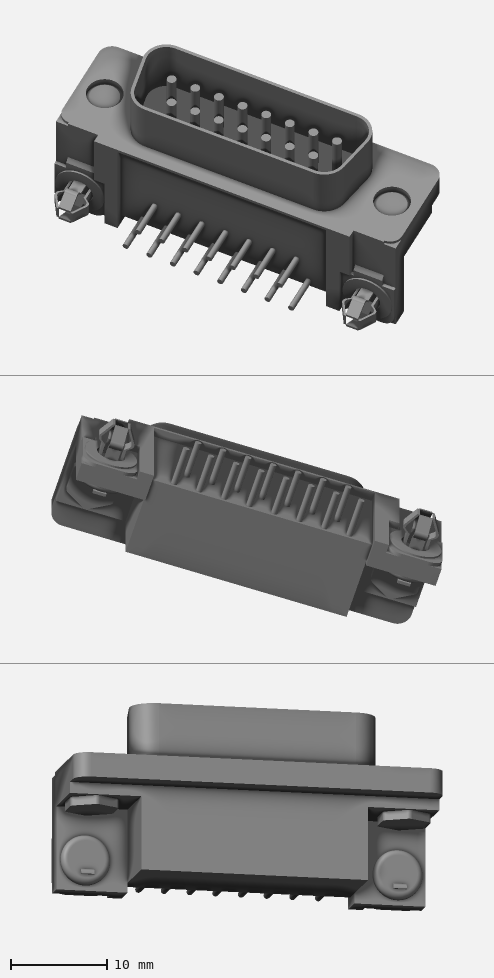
import cadquery as cq
import math


LENGTH = 39.37
FRONT_Y = -6.3
BACK_Y = 6.3
LEG_FRONT_Y = -5.35
LEG_BACK_Y = -3.35
BODY_BACK_Y = 3.3
FLANGE_TOP = 12.65
FLANGE_THICKNESS = 2.6
FLANGE_CORNER = 1.57
BLOCK_BOTTOM = 8.85
BODY_BOTTOM = 1.05
RIB_OUTER_X = 14.8
LOWER_RIB_OUTER_X = 13.62
RIB_STEP_Z = 6.38
RIB_INNER_X = 12.1
RIM_DEPTH = 0.35
CORNER_STEP_RADIUS = 1.38
CORNER_STEP_INSET = 0.2

SHELL_TOP = 18.6
SHELL_HALF_DEPTH = 4.6
SHELL_MID_HALF_WIDTH = 12.75
SHELL_SLANT_ANGLE = 10.0
SHELL_SLANT = math.tan(math.radians(SHELL_SLANT_ANGLE))
SHELL_CORNER = 2.55
SHELL_WALL = 0.35
SHELL_FLOOR = FLANGE_TOP - RIM_DEPTH

LONG_ROW_COUNT = 8
SHORT_ROW_COUNT = 7
LONG_ROW_SPAN = 19.17
PIN_PITCH = LONG_ROW_SPAN / (LONG_ROW_COUNT - 1)
ROW_Y = 1.4
PIN_RADIUS = 0.5
PIN_TOP = 17.15
TAIL_RADIUS = 0.335
TAIL_EMBED = 0.4
UPPER_TAIL_Z = 4.6
LOWER_TAIL_Z = 1.77
UPPER_TAIL_END = -9.37
LOWER_TAIL_END = -9.53

MOUNT_X = 16.65
HOLE_RADIUS = 1.95
HOLE_FLOOR_RADIUS = 1.6
HOLE_FLOOR_DEPTH = 0.47
HOLE_GROOVE_DEPTH = HOLE_FLOOR_DEPTH + HOLE_RADIUS - HOLE_FLOOR_RADIUS
NUT_HEIGHT = 0.95
NUT_ACROSS_CORNERS = 5.9
NUT_CORNER_RADIUS = 0.47

LOCK_Z = 3.2
PLATE_WIDTH = 6.0
PLATE_HEIGHT = 5.9
PLATE_THICKNESS = 0.4
PLATE_CORNER = 1.5
TAB_WIDTH = 3.3
TAB_BEND_Z = 6.75
TAB_TOP = 7.25
DISC_RADIUS = 2.85
DISC_FRONT_Y = -5.95
LOCK_HOLE_RADIUS = 1.55
RIVET_RADIUS = 2.65
RIVET_HEIGHT = 0.9
RIVET_ROUNDING = 0.63
HOOK_TIP_Z = 1.5
HOOK_OUTER_RADIUS = 0.63
HOOK_INNER_RADIUS = 0.3

PRONG_WIDTH = 1.4
PRONG_THICKNESS = 0.28
PRONG_ROOT_OFFSET = 1.3
PRONG_BULGE_OFFSET = 1.93
PRONG_TIP_OFFSET = 0.95
PRONG_BEND_Y = -7.1
PRONG_SHOULDER_OFFSET = 1.8
PRONG_BULGE_Y = -7.8
PRONG_BULGE_HALF_LENGTH = 0.3
PRONG_TIP_Y = -9.53


def block(x_min, x_max, y_min, y_max, z_min, z_max):
    """Box given by its limits."""
    return (
        cq.Workplane("XY")
        .box(x_max - x_min, y_max - y_min, z_max - z_min, centered=False)
        .translate((x_min, y_min, z_min))
    )


def rod_along_y(x, z, radius, y_start, y_end):
    """Cylinder parallel to Y."""
    axis = cq.Vector(0, y_end - y_start, 0)
    return cq.Workplane(cq.Solid.makeCylinder(radius, axis.Length, cq.Vector(x, y_start, z), axis))


def make_housing():
    half = LENGTH / 2
    flange_bottom = FLANGE_TOP - FLANGE_THICKNESS
    flange = block(-half, half, LEG_FRONT_Y, BACK_Y, flange_bottom, FLANGE_TOP)
    flange = flange.edges("|Z and >Y").fillet(FLANGE_CORNER)
    shoulder = block(-half, half, LEG_FRONT_Y, BODY_BACK_Y, BLOCK_BOTTOM, flange_bottom)
    body = block(-RIB_INNER_X, RIB_INNER_X, LEG_FRONT_Y, BODY_BACK_Y, BODY_BOTTOM, FLANGE_TOP)
    lip = block(
        -RIB_INNER_X, RIB_INNER_X, FRONT_Y, LEG_FRONT_Y, FLANGE_TOP - RIM_DEPTH, FLANGE_TOP
    )
    housing = flange.union(shoulder).union(body).union(lip)

    right_leg = block(RIB_INNER_X, half, LEG_FRONT_Y, LEG_BACK_Y, 0, BLOCK_BOTTOM)
    right_rib = block(RIB_INNER_X, RIB_OUTER_X, FRONT_Y, LEG_FRONT_Y, RIB_STEP_Z, FLANGE_TOP)
    right_lower_rib = block(RIB_INNER_X, LOWER_RIB_OUTER_X, FRONT_Y, LEG_FRONT_Y, 0, RIB_STEP_Z)
    for piece in (right_leg, right_rib, right_lower_rib):
        housing = housing.union(piece).union(piece.mirror("YZ"))
    return housing


def make_corner_step():
    """Shallow step that rounds the top of the right front corner of the flange."""
    step_bottom = FLANGE_TOP - RIM_DEPTH
    arc_x = LENGTH / 2 - CORNER_STEP_RADIUS
    arc_y = LEG_FRONT_Y + CORNER_STEP_INSET + CORNER_STEP_RADIUS
    corner = block(arc_x, LENGTH / 2, LEG_FRONT_Y, arc_y, step_bottom, FLANGE_TOP)
    rounding = (
        cq.Workplane("XY", origin=(arc_x, arc_y, step_bottom))
        .circle(CORNER_STEP_RADIUS)
        .extrude(RIM_DEPTH)
    )
    return corner.cut(rounding)


def make_shell_blank():
    """Solid D-shaped prism with the outer outline of the shell."""
    wide = SHELL_MID_HALF_WIDTH + SHELL_HALF_DEPTH * SHELL_SLANT
    narrow = SHELL_MID_HALF_WIDTH - SHELL_HALF_DEPTH * SHELL_SLANT
    outline = [
        (-wide, SHELL_HALF_DEPTH),
        (wide, SHELL_HALF_DEPTH),
        (narrow, -SHELL_HALF_DEPTH),
        (-narrow, -SHELL_HALF_DEPTH),
    ]
    return (
        cq.Workplane("XY", origin=(0, 0, SHELL_FLOOR))
        .polyline(outline)
        .close()
        .extrude(SHELL_TOP - SHELL_FLOOR)
        .edges("|Z")
        .fillet(SHELL_CORNER)
    )


def make_shell_cavity():
    """Inside of the shell, from its floor to its open top."""
    blank = make_shell_blank()
    return blank.cut(blank.faces("<Z or >Z").shell(-SHELL_WALL))


def make_contact_row(count, row_y, tail_z, tail_end):
    """One row of mating pins with the solder tails that belong to them."""
    row = cq.Workplane("XY")
    for index in range(count):
        x = (index - (count - 1) / 2) * PIN_PITCH
        pin = (
            cq.Workplane("XY", origin=(x, row_y, SHELL_FLOOR))
            .circle(PIN_RADIUS)
            .extrude(PIN_TOP - SHELL_FLOOR)
        )
        tail = rod_along_y(x, tail_z, TAIL_RADIUS, LEG_FRONT_Y + TAIL_EMBED, tail_end)
        row = row.add(pin).add(tail)
    return row


def make_mounting_hole():
    """Blind hole whose floor is chamfered at its edge, leaving a groove along the wall."""
    profile = [
        (0, 0),
        (HOLE_RADIUS, 0),
        (HOLE_RADIUS, -HOLE_GROOVE_DEPTH),
        (HOLE_FLOOR_RADIUS, -HOLE_FLOOR_DEPTH),
        (0, -HOLE_FLOOR_DEPTH),
    ]
    return (
        cq.Workplane("XZ", origin=(MOUNT_X, 0, FLANGE_TOP))
        .polyline(profile)
        .close()
        .revolve(360, (0, 0), (0, 1))
    )


def make_nut():
    """Hexagonal nut under the shoulder."""
    return (
        cq.Workplane("XY", origin=(MOUNT_X, 0, BLOCK_BOTTOM - NUT_HEIGHT))
        .transformed(rotate=(0, 0, 90))
        .polygon(6, NUT_ACROSS_CORNERS)
        .extrude(NUT_HEIGHT)
        .edges("|Z")
        .fillet(NUT_CORNER_RADIUS)
    )


def make_rivet_head():
    head = rod_along_y(MOUNT_X, LOCK_Z, RIVET_RADIUS, LEG_BACK_Y, LEG_BACK_Y + RIVET_HEIGHT)
    return head.faces(">Y").edges().fillet(RIVET_ROUNDING)


def make_hook():
    """Small strip that curls down behind the rivet head."""
    head_y = LEG_BACK_Y + RIVET_HEIGHT
    hook_bounds = block(
        MOUNT_X - PRONG_WIDTH / 2,
        MOUNT_X + PRONG_WIDTH / 2,
        head_y,
        head_y + HOOK_OUTER_RADIUS,
        HOOK_TIP_Z,
        HOOK_TIP_Z + HOOK_OUTER_RADIUS,
    )
    ring = (
        cq.Workplane("YZ", origin=(MOUNT_X - PRONG_WIDTH / 2, head_y, HOOK_TIP_Z))
        .circle(HOOK_OUTER_RADIUS)
        .circle(HOOK_INNER_RADIUS)
        .extrude(PRONG_WIDTH)
    )
    return ring.intersect(hook_bounds)


def make_lock_plate():
    """Base plate of the board lock: square plate, bent tab above it and a raised disc."""
    plate_front_y = LEG_FRONT_Y - PLATE_THICKNESS
    plate = block(
        LENGTH / 2 - PLATE_WIDTH, LENGTH / 2, plate_front_y, LEG_FRONT_Y, 0, PLATE_HEIGHT
    )
    plate = plate.edges("|Y and <Z").fillet(PLATE_CORNER)
    tab_profile = [
        (LEG_FRONT_Y, LOCK_Z),
        (plate_front_y, LOCK_Z),
        (plate_front_y, TAB_BEND_Z),
        (LEG_FRONT_Y, TAB_TOP),
    ]
    tab = (
        cq.Workplane("YZ", origin=(MOUNT_X - TAB_WIDTH / 2, 0, 0))
        .polyline(tab_profile)
        .close()
        .extrude(TAB_WIDTH)
    )
    disc = rod_along_y(MOUNT_X, LOCK_Z, DISC_RADIUS, LEG_FRONT_Y, DISC_FRONT_Y)
    hole = rod_along_y(MOUNT_X, LOCK_Z, LOCK_HOLE_RADIUS, LEG_FRONT_Y, DISC_FRONT_Y)
    return plate.union(tab).union(disc).cut(hole)


def make_prongs():
    """Four bent prongs around the axis of the board lock."""
    bulge_start_y = PRONG_BULGE_Y + PRONG_BULGE_HALF_LENGTH
    bulge_end_y = PRONG_BULGE_Y - PRONG_BULGE_HALF_LENGTH
    inner_root = PRONG_ROOT_OFFSET - PRONG_THICKNESS
    inner_shoulder = PRONG_SHOULDER_OFFSET - PRONG_THICKNESS
    inner_bulge = PRONG_BULGE_OFFSET - PRONG_THICKNESS
    prong = (
        cq.Workplane("XY", origin=(0, 0, -PRONG_WIDTH / 2))
        .moveTo(PRONG_ROOT_OFFSET, LEG_BACK_Y)
        .lineTo(PRONG_ROOT_OFFSET, PRONG_BEND_Y)
        .lineTo(PRONG_SHOULDER_OFFSET, bulge_start_y)
        .threePointArc((PRONG_BULGE_OFFSET, PRONG_BULGE_Y), (PRONG_SHOULDER_OFFSET, bulge_end_y))
        .lineTo(PRONG_TIP_OFFSET, PRONG_TIP_Y)
        .lineTo(PRONG_TIP_OFFSET - PRONG_THICKNESS, PRONG_TIP_Y)
        .lineTo(inner_shoulder, bulge_end_y)
        .threePointArc((inner_bulge, PRONG_BULGE_Y), (inner_shoulder, bulge_start_y))
        .lineTo(inner_root, PRONG_BEND_Y)
        .lineTo(inner_root, LEG_BACK_Y)
        .close()
        .extrude(PRONG_WIDTH)
    )
    prongs = cq.Workplane("XY")
    for quarter in range(4):
        prongs = prongs.add(prong.rotate((0, 0, 0), (0, 1, 0), 90 * quarter))
    return prongs.translate((MOUNT_X, 0, LOCK_Z))


result = make_housing().union(make_shell_blank()).cut(make_shell_cavity())
for contacts in (
    make_contact_row(LONG_ROW_COUNT, ROW_Y, LOWER_TAIL_Z, LOWER_TAIL_END),
    make_contact_row(SHORT_ROW_COUNT, -ROW_Y, UPPER_TAIL_Z, UPPER_TAIL_END),
):
    for contact in contacts.vals():
        result = result.union(cq.Workplane(contact))

for cutter in (make_corner_step(), make_mounting_hole()):
    result = result.cut(cutter).cut(cutter.mirror("YZ"))

for part in (make_nut(), make_rivet_head(), make_hook(), make_lock_plate()):
    result = result.union(part).union(part.mirror("YZ"))
for prong_solid in make_prongs().vals():
    prong_part = cq.Workplane(prong_solid)
    result = result.union(prong_part).union(prong_part.mirror("YZ"))